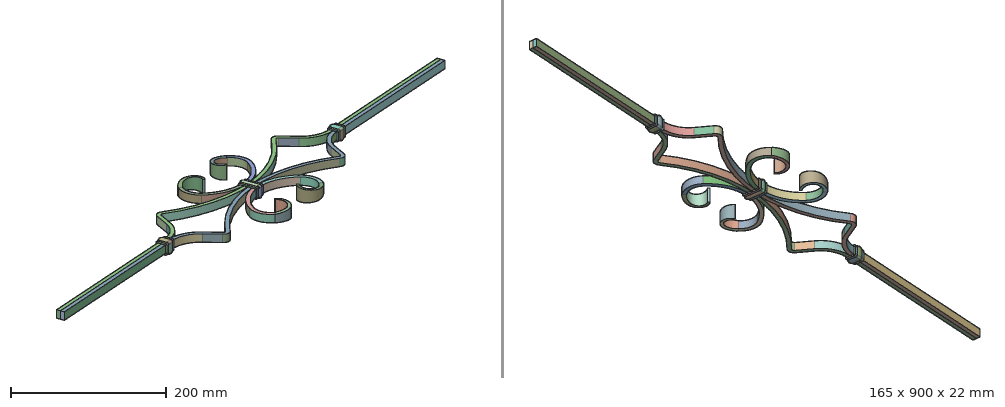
import cadquery as cq
import math

LENGTH = 900.0
STRIP_THICKNESS = 6.0
STRIP_HEIGHT = 2 * STRIP_THICKNESS

BOW_RADIUS = 207.0
SHOULDER_RADIUS = 46.0
SHOULDER_ANGLE = math.radians(60)
CORNER_RADIUS = 6.0

SCROLL_WIDTH = 165.0
CROWN_RADIUS = 26.0
CROWN_Y = 36.0
CURL_RADIUS = 14.0
CURL_ANGLE = math.radians(140)
TIP_HEIGHT = 22.0
TIP_THICKNESS = 4.0
FLARE_LEAD_ANGLE = math.radians(46)
FLARE_STATIONS = 8

COLLAR_WALL = 2.4
COLLAR_CROWN = 1.2
COLLAR_LAND = 4.0
COLLAR_CORNER_RADIUS = 3.0
COLLAR_LENGTH = 17.0
COLLAR_Y = 202.5
CLASP_LENGTH = 14.0
SHOULDER_Y = COLLAR_Y - COLLAR_LENGTH / 2

TOLERANCE = 8.1e-05


def polar(center, radius, angle):
    """Point at an angle on a circle in the XY plane."""
    return (center[0] + radius * math.cos(angle), center[1] + radius * math.sin(angle))


def arc_edge(center, radius, start, end):
    """Arc in the XY plane from one angle to another."""
    angles = (start, (start + end) / 2, end)
    return cq.Edge.makeThreePointArc(*[cq.Vector(*polar(center, radius, a)) for a in angles])


def sweep_bar(edges, x):
    """Strip section at (x, 0), facing +Y, swept along joined edges."""
    section = cq.Workplane("XZ", origin=(x, 0, 0)).rect(STRIP_THICKNESS, STRIP_HEIGHT)
    return section.sweep(cq.Workplane(cq.Wire.assembleEdges(edges)))


def make_strip():
    """Right-hand strip of the frame, running the full length."""
    x = STRIP_THICKNESS / 2
    bow_center = (x + BOW_RADIUS, 0)
    shoulder_center = (x + SHOULDER_RADIUS, SHOULDER_Y)

    shoulder_end = polar(shoulder_center, SHOULDER_RADIUS, math.pi + SHOULDER_ANGLE)
    normal_angle = math.pi + SHOULDER_ANGLE
    brow_angle = normal_angle + math.pi / 2

    offset_start = polar(shoulder_end, CORNER_RADIUS, normal_angle)
    dx = offset_start[0] - bow_center[0]
    dy = offset_start[1] - bow_center[1]
    along = dx * math.cos(brow_angle) + dy * math.sin(brow_angle)
    reach = BOW_RADIUS + CORNER_RADIUS
    brow_length = -along - math.sqrt(along**2 + reach**2 - dx**2 - dy**2)
    corner_center = polar(offset_start, brow_length, brow_angle)
    bow_angle = math.atan2(corner_center[1] - bow_center[1], corner_center[0] - bow_center[0])
    brow_end = polar(shoulder_end, brow_length, brow_angle)

    edges = [
        arc_edge(bow_center, BOW_RADIUS, math.pi, bow_angle),
        arc_edge(corner_center, CORNER_RADIUS, bow_angle - math.pi, SHOULDER_ANGLE),
        cq.Edge.makeLine(cq.Vector(*brow_end), cq.Vector(*shoulder_end)),
        arc_edge(shoulder_center, SHOULDER_RADIUS, normal_angle, math.pi),
        cq.Edge.makeLine(cq.Vector(x, SHOULDER_Y), cq.Vector(x, LENGTH / 2)),
    ]
    half = sweep_bar(edges, x)
    return half.union(half.mirror("XZ"))


def between(start, end, progress):
    """Value part of the way from start to end."""
    return start + progress * (end - start)


def flare_section(center, radius, angle, progress):
    """Rectangular section across the scroll, part of the way along its flare."""
    thickness = between(STRIP_THICKNESS, TIP_THICKNESS, progress)
    height = between(STRIP_HEIGHT, TIP_HEIGHT, progress)
    plane = cq.Plane(
        origin=(*polar(center, radius, angle), 0),
        xDir=(math.cos(angle), math.sin(angle), 0),
        normal=(math.sin(angle), -math.cos(angle), 0),
    )
    return cq.Workplane(plane).rect(thickness, height).wires().val()


def make_scroll_arm():
    """Right-hand scroll above the clasp."""
    x = 1.5 * STRIP_THICKNESS
    lead_length = CROWN_RADIUS * FLARE_LEAD_ANGLE
    flare_length = lead_length + CURL_RADIUS * CURL_ANGLE

    widest_thickness = between(STRIP_THICKNESS, TIP_THICKNESS, lead_length / flare_length)
    widest_x = (SCROLL_WIDTH - widest_thickness) / 2
    crown_center = (widest_x - CROWN_RADIUS, CROWN_Y)
    curl_center = (widest_x - CURL_RADIUS, CROWN_Y)

    run = crown_center[0] - x
    stem_radius = (run**2 + CROWN_Y**2 - CROWN_RADIUS**2) / (2 * (run - CROWN_RADIUS))
    stem_center = (x + stem_radius, 0)
    join_angle = math.atan2(CROWN_Y, crown_center[0] - stem_center[0])

    stem = sweep_bar(
        [
            arc_edge(stem_center, stem_radius, math.pi, join_angle),
            arc_edge(crown_center, CROWN_RADIUS, join_angle, FLARE_LEAD_ANGLE),
        ],
        x,
    )

    sections = []
    for i in range(FLARE_STATIONS + 1):
        distance = flare_length * i / FLARE_STATIONS
        past_lead = distance - lead_length
        if past_lead < 0:
            center, radius = crown_center, CROWN_RADIUS
        else:
            center, radius = curl_center, CURL_RADIUS
        sections.append(flare_section(center, radius, -past_lead / radius, i / FLARE_STATIONS))
    flare = cq.Workplane(cq.Solid.makeLoft(sections))
    return stem.union(flare)


def collar_block(half_width, half_height, length):
    """Block of the collar's outer shape: flat lands at both ends and a crowned middle."""

    def banded(half, plane, depth):
        half_crown = length / 2 - COLLAR_LAND
        profile = (
            cq.Workplane(plane)
            .moveTo(-half, -length / 2)
            .lineTo(half, -length / 2)
            .lineTo(half, -half_crown)
            .threePointArc((half + COLLAR_CROWN, 0), (half, half_crown))
            .lineTo(half, length / 2)
            .lineTo(-half, length / 2)
            .lineTo(-half, half_crown)
            .threePointArc((-half - COLLAR_CROWN, 0), (-half, -half_crown))
            .close()
        )
        return profile.extrude(depth, both=True)

    across = banded(half_width, "XY", half_height + 2 * COLLAR_CROWN)
    upright = banded(half_height, "ZY", half_width + 2 * COLLAR_CROWN)
    block = across.intersect(upright)
    corners = block.edges().filter(lambda e: abs(e.Center().x * e.Center().z) > TOLERANCE)
    return corners.fillet(COLLAR_CORNER_RADIUS)


def make_collar(length, filled_width):
    """Collar around the origin, fitted around a width of strips running along Y."""
    block = collar_block(filled_width / 2 + COLLAR_WALL, STRIP_HEIGHT / 2 + COLLAR_WALL, length)
    opening = cq.Workplane("XY").box(2 * STRIP_THICKNESS, 2 * length, STRIP_HEIGHT)
    return block.cut(opening)


def make_scroll_clasp():
    """Middle collar carrying the four scrolls, open in the middle for the two strips."""
    body = make_collar(CLASP_LENGTH, 4 * STRIP_THICKNESS)
    upper = make_scroll_arm()
    right = upper.union(upper.mirror("XZ"))
    return body.union(right).union(right.mirror("YZ"))


right_strip = make_strip()
left_strip = right_strip.mirror("YZ")
clasp = make_scroll_clasp().cut(right_strip).cut(left_strip)
collar = make_collar(COLLAR_LENGTH, 2 * STRIP_THICKNESS)
end_collars = [collar.translate((0, s * COLLAR_Y, 0)) for s in (-1, 1)]

result = cq.Compound.makeCompound(
    [body.solids().val() for body in (right_strip, left_strip, clasp, *end_collars)]
)